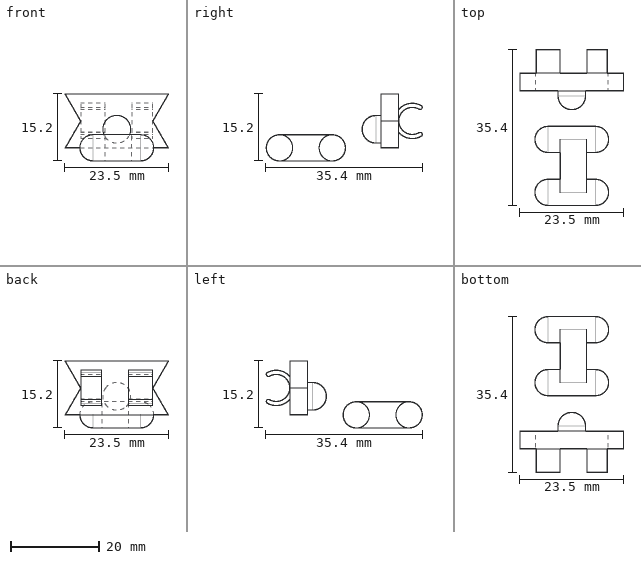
import cadquery as cq
import math


plate_width = 23.52
plate_thickness = 4.0
notch_drop = 6.15
notch_height = 6.05
notch_slope = 60
plate_height = notch_height + notch_drop

knob_diameter = 6.3
knob_straight = 1.15
knob_z = 4.2

clip_outer_radius = 4.05
clip_inner_radius = 3.05
clip_axis_gap = 3.1
clip_tip_angle = 30
clip_outer_end = 8.08
left_clip_width = 5.45
right_clip_width = 4.65
clip_z = plate_height / 2
clip_y = plate_thickness + clip_axis_gap

bar_diameter = 6.0
bar_straight = 10.75
bar_spacing = 12.0
rear_bar_y = -11.0
block_width = bar_diameter
block_left_x = -2.62
bar_z = 0


def notched_plate():
    half_top = plate_width / 2
    half_waist = half_top - notch_drop / math.tan(math.radians(notch_slope))
    half_bottom = half_waist + notch_height / math.tan(math.radians(notch_slope))
    outline = [
        (-half_top, plate_height),
        (half_top, plate_height),
        (half_waist, notch_height),
        (half_bottom, 0),
        (-half_bottom, 0),
        (-half_waist, notch_height),
    ]
    return cq.Workplane("XZ").polyline(outline).close().extrude(-plate_thickness)


def knob():
    radius = knob_diameter / 2
    shank = cq.Workplane("XZ").center(0, knob_z).circle(radius).extrude(knob_straight)
    ball = cq.Workplane("XY").sphere(radius).translate((0, -knob_straight, knob_z))
    front_half = cq.Workplane("XY").box(
        knob_diameter, radius, knob_diameter, centered=(True, False, True)
    ).translate((0, -knob_straight - radius, knob_z))
    return shank.union(ball.intersect(front_half))


def clip(left_x, width):
    def ring_point(radius, angle):
        turn = math.radians(angle)
        return clip_y - radius * math.cos(turn), clip_z + radius * math.sin(turn)

    upper = 90 + clip_tip_angle
    middle_radius = (clip_outer_radius + clip_inner_radius) / 2
    tip_radius = (clip_outer_radius - clip_inner_radius) / 2
    tip_y, tip_z = ring_point(middle_radius, upper)
    tip_turn = math.radians(upper)
    tip_peak_y = tip_y + tip_radius * math.sin(tip_turn)
    tip_peak_offset = tip_z + tip_radius * math.cos(tip_turn) - clip_z
    clip_profile = (
        cq.Workplane("YZ", origin=(left_x, 0, 0))
        .moveTo(*ring_point(clip_outer_radius, upper))
        .threePointArc(ring_point(clip_outer_radius, 0), ring_point(clip_outer_radius, -upper))
        .threePointArc((tip_peak_y, clip_z - tip_peak_offset), ring_point(clip_inner_radius, -upper))
        .threePointArc(ring_point(clip_inner_radius, 0), ring_point(clip_inner_radius, upper))
        .threePointArc((tip_peak_y, clip_z + tip_peak_offset), ring_point(clip_outer_radius, upper))
        .close()
    )
    return clip_profile.extrude(width)


def make_holder():
    left_clip = clip(-clip_outer_end, left_clip_width)
    right_clip = clip(clip_outer_end - right_clip_width, right_clip_width)
    return notched_plate().union(knob()).union(left_clip).union(right_clip)


def round_ended_bar(axis_y):
    radius = bar_diameter / 2
    half_straight = bar_straight / 2
    tip_x = half_straight + radius
    arc_offset = radius * math.sqrt(0.5)
    half_profile = (
        cq.Workplane("XY")
        .moveTo(-tip_x, 0)
        .threePointArc((-half_straight - arc_offset, arc_offset), (-half_straight, radius))
        .lineTo(half_straight, radius)
        .threePointArc((half_straight + arc_offset, arc_offset), (tip_x, 0))
        .close()
    )
    bar = half_profile.revolve(360, (0, 0, 0), (1, 0, 0))
    return bar.translate((0, axis_y, bar_z))


def make_link():
    front_bar_y = rear_bar_y - bar_spacing
    block = cq.Workplane("XY").box(
        block_width, bar_spacing, bar_diameter, centered=(False, False, True)
    ).translate((block_left_x, front_bar_y, bar_z))
    link_body = block
    for axis_y in (rear_bar_y, front_bar_y):
        link_body = link_body.union(round_ended_bar(axis_y))
    return link_body


holder = make_holder()
link = make_link()
result = cq.Compound.makeCompound([holder.val(), link.val()])